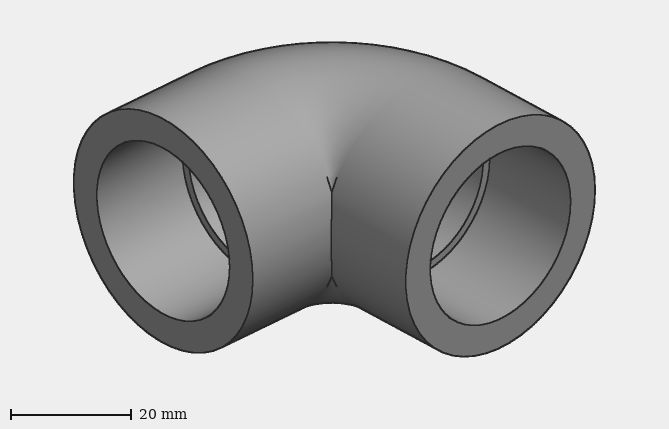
import cadquery as cq

outer_diameter = 43.2
socket_diameter = 32.0
bore_diameter = 29.0
bend_radius = 20.0
leg_length = 19.5

bend_angle = 90
leg_reach = bend_radius + leg_length


def both_legs(diameter):
    """Cylinders running inward from the two end faces, one facing -Y and one facing +X."""
    front_face = cq.Workplane("XZ", origin=(0, -leg_reach, 0))
    side_face = cq.Workplane("YZ", origin=(leg_reach, 0, 0))
    front_leg = front_face.circle(diameter / 2).extrude(-leg_length)
    side_leg = side_face.circle(diameter / 2).extrude(-leg_length)
    return front_leg.union(side_leg)


def bend(diameter):
    """Quarter turn of a round section about a vertical axis, joining the two legs."""
    section = cq.Sketch().circle(diameter / 2)
    if diameter / 2 > bend_radius:
        section = section.push([(bend_radius + diameter / 2, 0)]).rect(diameter, diameter, mode="s")
    return (
        cq.Workplane("XZ", origin=(0, -bend_radius, 0))
        .placeSketch(section)
        .revolve(bend_angle, (bend_radius, 0, 0), (bend_radius, -1, 0))
    )


def hollow_bend():
    return bend(outer_diameter).cut(bend(bore_diameter))


def socketed_legs():
    """Straight tubes whose full length takes a pipe up to the shoulder of the bend."""
    return both_legs(outer_diameter).cut(both_legs(socket_diameter))


result = hollow_bend().union(socketed_legs())